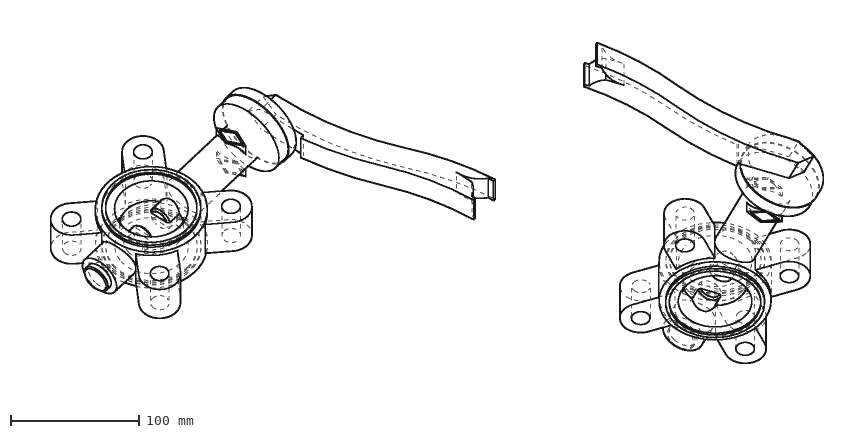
import cadquery as cq
import math


RING_RADIUS = 43.7
RING_HALF_HEIGHT = 21.5
LIP_OUTER_RADIUS = 38.5
LIP_INNER_RADIUS = 35.7
LIP_HEIGHT = 2.5
SEAT_HEIGHT = 0.5
BORE_RADIUS = 25.0
MOUTH_RADIUS = 28.7
THROAT_HALF_HEIGHT = 10.0

DISC_HALF_THICKNESS = 2.5
STUB_RADIUS = 10.0
STUB_END_Y = 9.7
STUB_CHAMFER = 1.5

LUG_CIRCLE_RADIUS = 62.5
LUG_RADIUS = 16.4
LUG_HOLE_RADIUS = 7.2
LUG_HALF_HEIGHT = 17.5
LUG_COUNT = 4
LUG_FIRST_ANGLE = 45

NECK_RADIUS = 17.2
BOSS_END_Y = -64.0
PLUG_RADIUS = 11.8
PLUG_END_Y = -69.2
PLUG_CHAMFER = 1.0
FLANGE_RADIUS = 32.7
FLANGE_BOTTOM_Y = 117.7
FLANGE_TOP_Y = 129.0
NECK_FILLET = 5.4

DIAMOND_Y = 98.7
DIAMOND_HALF_WIDTH = 15.0
DIAMOND_HALF_LENGTH = 7.0
DIAMOND_TOP_Z = 18.2
DIAMOND_FLOOR_Z = 17.7
DIAMOND_INNER_RATIO = 0.77

CAP_RADIUS = 33.5
CAP_TOP_Y = 139.7
CAP_ROUND = 2.5
LEVER_HALF_THICKNESS = 11.8
LEVER_BACK_X = -16.4
WEDGE_LENGTH = 13.0
LEVER_END_X = 184.0
LEVER_HEEL_X = 39.5
LEVER_HEEL_Y = 136.2
LEVER_BACK_TOP_Y = 158.5
LEVER_BEND_X = 107.3
LEVER_BEND_TOP_Y = 179.2
LEVER_BEND_BOTTOM_Y = 154.5
LEVER_TIP_TOP_Y = 199.0
LEVER_TIP_BOTTOM_Y = 172.0

TOP_INNER_MID = (53.6, 163.3)
TOP_OUTER_MID = (144.8, 192.0)
BOTTOM_INNER_MID = (73.5, 143.2)
BOTTOM_OUTER_MID = (144.8, 166.3)

TIP_LAND = 2.5
SPLIT_ROOT_X = 155.5
SPLIT_MOUTH_X = 170.8
SPLIT_Y = 185.5
UPPER_PRONG_X = 179.0
UPPER_PRONG_MID = (170.0, 189.0)
LOWER_PRONG_X = 180.2
LOWER_PRONG_MID = (177.0, 180.5)


def y_cylinder(radius, start_y, end_y):
    """Solid cylinder along the stem axis between two Y positions."""
    return cq.Workplane("XZ", origin=(0, end_y, 0)).circle(radius).extrude(end_y - start_y)


def z_cylinder(radius, half_height):
    """Solid cylinder along the flow axis, symmetric about Z = 0."""
    return cq.Workplane("XY").circle(radius).extrude(half_height, both=True)


def lug_bar():
    """Radial bar with a round outer end, reaching from the centre to the +X lug hole."""
    bar = (
        cq.Workplane("XY")
        .center(LUG_CIRCLE_RADIUS / 2, 0)
        .rect(LUG_CIRCLE_RADIUS, 2 * LUG_RADIUS)
        .extrude(LUG_HALF_HEIGHT, both=True)
    )
    return bar.union(z_cylinder(LUG_RADIUS, LUG_HALF_HEIGHT).translate((LUG_CIRCLE_RADIUS, 0, 0)))


def bore_profile():
    """Revolved bore: cylindrical throat opening through tangent arcs into wider mouths."""
    mouth_z = RING_HALF_HEIGHT + SEAT_HEIGHT
    flare = MOUTH_RADIUS - BORE_RADIUS
    rise = mouth_z - THROAT_HALF_HEIGHT
    flare_radius = (rise ** 2 + flare ** 2) / (2 * flare)
    half_angle = math.asin(rise / flare_radius) / 2
    mid_r = BORE_RADIUS + flare_radius * (1 - math.cos(half_angle))
    mid_z = THROAT_HALF_HEIGHT + flare_radius * math.sin(half_angle)
    return (
        cq.Workplane("XZ")
        .moveTo(0, -mouth_z)
        .lineTo(MOUTH_RADIUS, -mouth_z)
        .threePointArc((mid_r, -mid_z), (BORE_RADIUS, -THROAT_HALF_HEIGHT))
        .lineTo(BORE_RADIUS, THROAT_HALF_HEIGHT)
        .threePointArc((mid_r, mid_z), (MOUTH_RADIUS, mouth_z))
        .lineTo(0, mouth_z)
        .close()
        .revolve(360, (0, 0, 0), (0, 1, 0))
    )


def ring_blank():
    """Ring with a raised circular lip and a shallow seat inside it on both faces."""
    lip_z = RING_HALF_HEIGHT + LIP_HEIGHT
    lip = z_cylinder(LIP_OUTER_RADIUS, lip_z).cut(z_cylinder(LIP_INNER_RADIUS, lip_z))
    seat = z_cylinder(LIP_INNER_RADIUS, RING_HALF_HEIGHT + SEAT_HEIGHT)
    return z_cylinder(RING_RADIUS, RING_HALF_HEIGHT).union(lip).union(seat)


def neck_and_flange():
    """Neck along the stem axis, filleted into the flange that carries the lever cap."""
    neck = y_cylinder(NECK_RADIUS, BOSS_END_Y, FLANGE_TOP_Y)
    flange = y_cylinder(FLANGE_RADIUS, FLANGE_BOTTOM_Y, FLANGE_TOP_Y)
    reach = (NECK_RADIUS + FLANGE_RADIUS) / 2
    slack = NECK_FILLET / 10
    joint = cq.selectors.BoxSelector(
        (-reach, FLANGE_BOTTOM_Y - slack, -reach),
        (reach, FLANGE_BOTTOM_Y + slack, reach),
        boundingbox=True,
    )
    return neck.union(flange).edges(joint).fillet(NECK_FILLET)


def diamond(scale, bottom_z, top_z):
    """Diamond prism on the neck; scale shrinks its outline."""
    half_width = DIAMOND_HALF_WIDTH * scale
    half_length = DIAMOND_HALF_LENGTH * scale
    corners = [(half_width, 0), (0, half_length), (-half_width, 0), (0, -half_length)]
    return (
        cq.Workplane("XY", origin=(0, DIAMOND_Y, bottom_z))
        .polyline(corners)
        .close()
        .extrude(top_z - bottom_z)
    )


def make_housing():
    outside = ring_blank().union(neck_and_flange())
    for index in range(LUG_COUNT):
        angle = LUG_FIRST_ANGLE + index * 360 / LUG_COUNT
        outside = outside.union(lug_bar().rotate((0, 0, 0), (0, 0, 1), angle))

    plug = y_cylinder(PLUG_RADIUS, PLUG_END_Y, BOSS_END_Y).faces("<Y").chamfer(PLUG_CHAMFER)
    outside = outside.union(plug)

    plate = diamond(1, 0, DIAMOND_TOP_Z)
    recess = diamond(DIAMOND_INNER_RATIO, DIAMOND_FLOOR_Z, DIAMOND_TOP_Z)
    framed_plate = plate.cut(recess)
    outside = outside.union(framed_plate).union(framed_plate.mirror("XY"))

    holes = (
        cq.Workplane("XY")
        .polarArray(LUG_CIRCLE_RADIUS, LUG_FIRST_ANGLE, 360, LUG_COUNT)
        .circle(LUG_HOLE_RADIUS)
        .extrude(LUG_HALF_HEIGHT, both=True)
    )
    housing = outside.cut(holes).cut(bore_profile())

    housing = housing.union(z_cylinder(BORE_RADIUS, DISC_HALF_THICKNESS))
    stub_root_y = (BORE_RADIUS + RING_RADIUS) / 2
    stub = y_cylinder(STUB_RADIUS, STUB_END_Y, stub_root_y).faces("<Y").chamfer(STUB_CHAMFER)
    return housing.union(stub).union(stub.mirror("XZ"))


def lever_blade():
    """Curved lever with a wedge-shaped back end and a ragged split tip."""
    upper_prong_y = LEVER_TIP_TOP_Y - TIP_LAND
    lower_prong_y = LEVER_TIP_BOTTOM_Y + TIP_LAND
    outline = (
        cq.Workplane("XY")
        .moveTo(LEVER_BACK_X, CAP_TOP_Y)
        .lineTo(LEVER_BACK_X, LEVER_BACK_TOP_Y)
        .lineTo(0, LEVER_BACK_TOP_Y)
        .threePointArc(TOP_INNER_MID, (LEVER_BEND_X, LEVER_BEND_TOP_Y))
        .threePointArc(TOP_OUTER_MID, (LEVER_END_X, LEVER_TIP_TOP_Y))
        .lineTo(LEVER_END_X, upper_prong_y)
        .lineTo(UPPER_PRONG_X, upper_prong_y)
        .threePointArc(UPPER_PRONG_MID, (SPLIT_ROOT_X, SPLIT_Y))
        .lineTo(SPLIT_MOUTH_X, SPLIT_Y)
        .threePointArc(LOWER_PRONG_MID, (LOWER_PRONG_X, lower_prong_y))
        .lineTo(LEVER_END_X, lower_prong_y)
        .lineTo(LEVER_END_X, LEVER_TIP_BOTTOM_Y)
        .threePointArc(BOTTOM_OUTER_MID, (LEVER_BEND_X, LEVER_BEND_BOTTOM_Y))
        .threePointArc(BOTTOM_INNER_MID, (LEVER_HEEL_X, LEVER_HEEL_Y))
        .lineTo(LEVER_HEEL_X, CAP_TOP_Y)
        .close()
        .extrude(LEVER_HALF_THICKNESS, both=True)
    )
    wedge_front_x = LEVER_BACK_X + WEDGE_LENGTH
    plan = (
        cq.Workplane("XZ")
        .polyline([
            (LEVER_BACK_X, 0),
            (wedge_front_x, LEVER_HALF_THICKNESS),
            (LEVER_END_X, LEVER_HALF_THICKNESS),
            (LEVER_END_X, -LEVER_HALF_THICKNESS),
            (wedge_front_x, -LEVER_HALF_THICKNESS),
        ])
        .close()
        .extrude(-LEVER_TIP_TOP_Y)
    )
    return outline.intersect(plan)


def make_lever():
    cap = y_cylinder(CAP_RADIUS, FLANGE_TOP_Y, CAP_TOP_Y).faces(">Y").edges().fillet(CAP_ROUND)
    return cap.union(lever_blade())


housing = make_housing()
lever = make_lever()
result = cq.Compound.makeCompound([housing.val(), lever.val()])